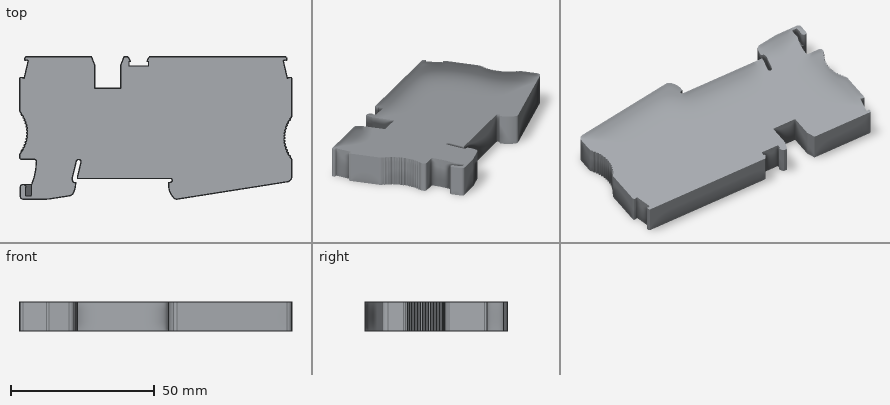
import cadquery as cq
import math

length = 94.8
height = 49.6
thickness = 10.2

rail_seat_y = 7.2
shelf_y = 13.85
throat_x = 5.85
right_wall_bottom_y = 6.3
foot_lip_y = 5.75
left_foot_x = 19.6
left_foot_flat_end = 9.9
right_foot_x = 51.9
right_foot_tip_x = 54.8

left_foot_flank_mid = (0.2, 4.0)
left_foot_flank_end = (0.75, 2.4)
left_foot_toe_mid = (1.35, 1.58)
left_foot_toe_end = (2.3, 1.15)
right_foot_flank_top = (0.0, 4.2)
right_foot_flank_mid = (0.6, 2.1)
right_foot_flank_end = (1.75, 0.5)
right_foot_toe_mid = (2.25, 0.12)

relief_depth = 1.2
relief_mid_y = 6.7
relief_lip_rise = 0.2
right_relief_lip = 0.6
right_relief_mouth = 0.4
left_relief_lip = 0.9

slit_lean = 0.243
slit_width = 1.65
slit_left_x = 18.5
slit_left_y = 7.9
slit_shoulder_y = 13.0
slit_crown = 0.8

hook_x = 0.25
hook_top_y = 5.2
hook_pocket_left = 2.05
hook_pocket_right = 4.1
hook_pocket_bottom = 1.1
hook_pocket_depth = thickness / 2
hook_pocket_corner = 0.45
hook_lip_size = 0.25
hook_root_x = 4.25
throat_mid = (5.45, 9.4)

notch_bottom_y = 42.4
notch_bottom_inset = 1.6
notch_top_y = 48.2
notch_top_inset = 3.0
notch_lip_inset = 1.75
notch_chamfer_x = 0.15
notch_chamfer_y = 0.8
notch_groove = 0.25

grip_half_chord = 7.5
grip_sagitta = 2.75
left_grip_y = 23.15
right_grip_y = 21.33
rib_radius = 0.28
rib_pitch_angle = 5.5
ribs_each_side = 6

opening_left = 26.2
opening_right = 35.2
opening_bottom = 38.65
opening_shoulder_y = 46.7
opening_mouth_flare = 1.15
recess_left = 38.1
recess_right = 44.8
recess_bottom = 46.4
recess_catch_y = 47.9
recess_catch = 0.5
recess_mouth_flare = 0.5

hook_radius = 1.0
shelf_radius = 0.8
throat_radius = 0.6
end_radius = 2.0
grip_mouth_radius = 1.2
foot_blend_radius = 5.5
top_radius = 0.5


def prism(outline, bottom=0.0):
    """Extrude a closed outline from the given level to the upper face."""
    return outline.extrude(thickness - bottom).translate((0, 0, bottom))


def polygon_prism(points):
    return prism(cq.Workplane("XY").polyline(points).close())


def round_corners(part, corners, radius):
    """Round the through-thickness edges standing at the given XY corners."""
    for x, y in corners:
        corner = cq.selectors.NearestToPointSelector((x, y, thickness / 2))
        part = part.edges("|Z").edges(corner).fillet(radius)
    return part


def left_foot_point(point):
    inset, y = point
    return (left_foot_x - inset, y)


def right_foot_point(point):
    inset, y = point
    return (right_foot_x + inset, y)


def make_body():
    slit_top_left = slit_left_x + slit_lean * (slit_shoulder_y - slit_left_y)
    slit_top_right = slit_top_left + slit_width
    slit_crown_x = (slit_top_left + slit_top_right) / 2 + slit_lean * slit_crown
    slit_mouth_right = slit_left_x + slit_width
    relief_lip_y = foot_lip_y + relief_lip_rise
    outline = (
        cq.Workplane("XY")
        .moveTo(0, height)
        .lineTo(length, height)
        .lineTo(length, right_wall_bottom_y)
        .lineTo(right_foot_tip_x, 0)
        .threePointArc(right_foot_point(right_foot_toe_mid), right_foot_point(right_foot_flank_end))
        .threePointArc(right_foot_point(right_foot_flank_mid), right_foot_point(right_foot_flank_top))
        .lineTo(right_foot_x, foot_lip_y)
        .lineTo(right_foot_x + right_relief_lip, relief_lip_y)
        .threePointArc(
            (right_foot_x + relief_depth, relief_mid_y),
            (right_foot_x + right_relief_mouth, rail_seat_y),
        )
        .lineTo(slit_mouth_right, rail_seat_y)
        .lineTo(slit_mouth_right, slit_left_y)
        .lineTo(slit_top_right, slit_shoulder_y)
        .threePointArc((slit_crown_x, slit_shoulder_y + slit_crown), (slit_top_left, slit_shoulder_y))
        .lineTo(slit_left_x, slit_left_y)
        .threePointArc(
            (left_foot_x - relief_depth, relief_mid_y),
            (left_foot_x - left_relief_lip, relief_lip_y),
        )
        .lineTo(left_foot_x, foot_lip_y)
        .threePointArc(left_foot_point(left_foot_flank_mid), left_foot_point(left_foot_flank_end))
        .threePointArc(left_foot_point(left_foot_toe_mid), left_foot_point(left_foot_toe_end))
        .lineTo(left_foot_flat_end, 0)
        .lineTo(hook_x, 0)
        .lineTo(hook_x, hook_top_y)
        .lineTo(hook_root_x, hook_top_y)
        .threePointArc(throat_mid, (throat_x, shelf_y))
        .lineTo(0, shelf_y)
        .close()
    )
    body = prism(outline)
    body = round_corners(body, [(hook_x, 0), (hook_x, hook_top_y)], hook_radius)
    body = round_corners(body, [(left_foot_flat_end, 0)], foot_blend_radius)
    body = round_corners(body, [(0, shelf_y)], shelf_radius)
    body = round_corners(body, [(throat_x, shelf_y)], throat_radius)
    return round_corners(body, [(length, right_wall_bottom_y)], end_radius)


def make_hook_pocket():
    """Blind pocket that separates the hook from the foot, open toward +Y."""
    pocket_floor = thickness - hook_pocket_depth
    slot = (
        cq.Workplane("XY")
        .moveTo(hook_pocket_left, hook_pocket_bottom)
        .lineTo(hook_pocket_right, hook_pocket_bottom)
        .lineTo(hook_pocket_right, hook_top_y)
        .lineTo(hook_pocket_left - 2 * hook_lip_size, hook_top_y)
        .lineTo(hook_pocket_left + hook_lip_size, hook_top_y - 3 * hook_lip_size)
        .lineTo(hook_pocket_left, hook_top_y - 4 * hook_lip_size)
        .close()
    )
    corners = [(hook_pocket_left, hook_pocket_bottom), (hook_pocket_right, hook_pocket_bottom)]
    return round_corners(prism(slot, pocket_floor), corners, hook_pocket_corner)


def make_corner_notch():
    """Cutter for the upper left latch notch, leaving a rounded lip above it."""
    lip_mid_inset = (notch_lip_inset + notch_top_inset) / 2
    return polygon_prism([
        (0, notch_bottom_y - notch_chamfer_y),
        (notch_chamfer_x, notch_bottom_y),
        (notch_bottom_inset / 2, notch_bottom_y),
        (notch_bottom_inset, notch_bottom_y - notch_groove),
        (notch_top_inset, notch_top_y),
        (lip_mid_inset, notch_top_y + notch_groove),
        (notch_lip_inset + notch_groove, notch_top_y),
        (notch_lip_inset, notch_top_y + notch_groove),
        (notch_lip_inset, height - top_radius),
        (notch_lip_inset + top_radius, height),
        (0, height),
    ])


def mirror_to_right(part):
    return part.mirror("YZ").translate((length, 0, 0))


def make_grip(center_y):
    """Cutter for a left finger grip: an arc segment less the ribs along it."""
    radius = (grip_half_chord**2 + grip_sagitta**2) / (2 * grip_sagitta)
    center_x = grip_sagitta - radius
    grip = prism(
        cq.Workplane("XY")
        .moveTo(0, center_y - grip_half_chord)
        .threePointArc((grip_sagitta, center_y), (0, center_y + grip_half_chord))
        .close()
    )
    rib_centers = []
    for index in range(-ribs_each_side, ribs_each_side + 1):
        angle = math.radians(index * rib_pitch_angle)
        rib_centers.append((center_x + radius * math.cos(angle), center_y + radius * math.sin(angle)))
    ribs = prism(cq.Workplane("XY").pushPoints(rib_centers).circle(rib_radius))
    return grip.cut(ribs)


def round_grip_mouths(part):
    grips = [(0, left_grip_y), (length, right_grip_y)]
    for end_x, center_y in grips:
        mouths = [(end_x, center_y - grip_half_chord), (end_x, center_y + grip_half_chord)]
        part = round_corners(part, mouths, grip_mouth_radius)
    return part


def make_opening():
    mouth_left = opening_left - opening_mouth_flare
    mouth_right = opening_right + opening_mouth_flare
    return polygon_prism([
        (opening_left, opening_bottom),
        (opening_right, opening_bottom),
        (opening_right, opening_shoulder_y),
        (mouth_right, height),
        (mouth_left, height),
        (opening_left, opening_shoulder_y),
    ])


def make_recess():
    """Marker recess with a small overhanging catch on each side."""
    return polygon_prism([
        (recess_left, recess_bottom),
        (recess_right, recess_bottom),
        (recess_right, recess_catch_y),
        (recess_right - recess_catch, recess_catch_y),
        (recess_right, height - top_radius),
        (recess_right + recess_mouth_flare, height),
        (recess_left - recess_mouth_flare, height),
        (recess_left, height - top_radius),
        (recess_left + recess_catch, recess_catch_y),
        (recess_left, recess_catch_y),
    ])


notch = make_corner_notch()
gripped_body = (
    make_body()
    .cut(make_grip(left_grip_y))
    .cut(mirror_to_right(make_grip(right_grip_y)))
)
result = (
    round_grip_mouths(gripped_body)
    .cut(make_hook_pocket())
    .cut(notch)
    .cut(mirror_to_right(notch))
    .cut(make_opening())
    .cut(make_recess())
)